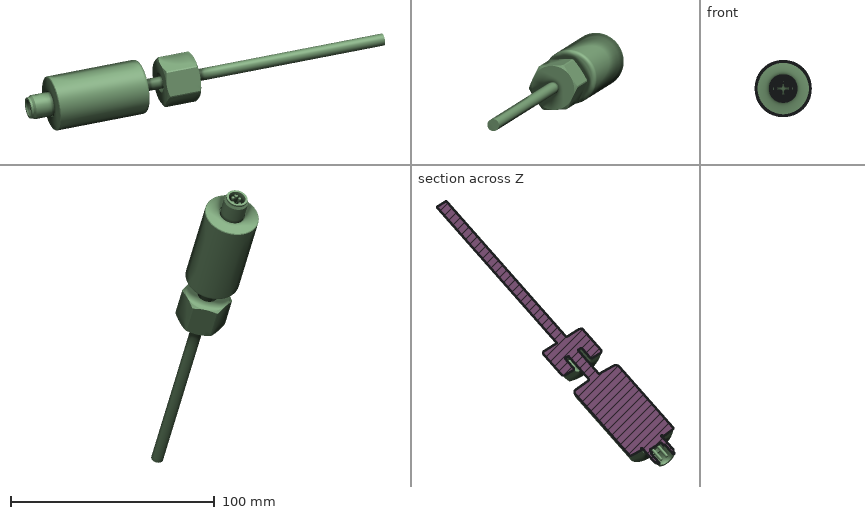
import cadquery as cq
import math

overall_length = 184.46
body_front = 11.75
body_rear = 59.35
nut_front = 68.4
nut_rear = 86.0

body_diameter = 27.0
front_cone_height = 0.55
front_edge_chamfer = 0.35
rear_cone_height = 0.5
rear_edge_radius = 2.0

ring_diameter = 13.0
ring_depth = 1.0

connector_diameter = 12.0
connector_neck_diameter = 11.8
connector_neck_length = 1.65
connector_tip_diameter = 10.5
connector_tip_length = 1.0
connector_chamfer_length = 1.2
socket_diameter = 8.3
socket_depth = 7.0
insert_diameter = 6.8
insert_depth = 9.0

pin_count = 4
pin_diameter = 1.5
pin_tip_diameter = 1.0
pin_circle_diameter = 4.75
pin_recess = 1.5

key_diameter = 1.8
key_offset = 3.7
key_recess = 2.0

rod_diameter = 6.0
rod_embedment = 1.0

nut_across_flats = 22.0
nut_outer_diameter = 25.0
nut_turn = 5.0
nut_chamfer_width = 1.5
nut_chamfer_length = 0.9
nut_bore_diameter = 10.0
nut_bore_depth = 8.0


def revolve_profile(points):
    """Turn a (radius, y) half section about the Y axis."""
    return cq.Workplane("XY").polyline(points).close().revolve(360, (0, 0, 0), (0, 1, 0))


def cylinder(diameter, start, end):
    """Cylinder along Y between two stations."""
    return cq.Workplane("XZ", origin=(0, start, 0)).circle(diameter / 2).extrude(start - end)


def make_body():
    """Turned housing with shallow conical ends and a clearance ring at the connector."""
    radius = body_diameter / 2
    rear_corner = body_rear - rear_cone_height
    body = (
        cq.Workplane("XY")
        .moveTo(0, body_front - front_cone_height)
        .lineTo(ring_diameter / 2, body_front - front_cone_height)
        .lineTo(radius - front_edge_chamfer, body_front)
        .lineTo(radius, body_front + front_edge_chamfer)
        .lineTo(radius, rear_corner - rear_edge_radius)
        .radiusArc((radius - rear_edge_radius, rear_corner), -rear_edge_radius)
        .lineTo(rod_diameter / 2, body_rear)
        .lineTo(0, body_rear)
        .close()
        .revolve(360, (0, 0, 0), (0, 1, 0))
    )
    ring_front = body_front - front_cone_height
    return body.cut(cylinder(ring_diameter, ring_front, ring_front + ring_depth))


def make_key():
    """Rounded coding rib on the upper wall of the socket."""
    return cylinder(key_diameter, key_recess, insert_depth).translate((0, 0, key_offset))


def make_pin(angle):
    """Contact pin with a chamfered tip, placed at an angle in degrees around the Y axis."""
    offset = pin_circle_diameter / 2
    tip_chamfer = (pin_diameter - pin_tip_diameter) / 2
    pin = cylinder(pin_diameter, pin_recess, insert_depth).faces("<Y").chamfer(tip_chamfer)
    return pin.translate((offset, 0, 0)).rotate((0, 0, 0), (0, 1, 0), angle)


def make_connector():
    """Round plug shell with a stepped socket, coding key and pins."""
    radius = connector_diameter / 2
    tip_radius = connector_tip_diameter / 2
    neck_radius = connector_neck_diameter / 2
    root = body_front + ring_depth
    neck_end = body_front - connector_neck_length
    chamfer_front = connector_tip_length
    chamfer_rear = chamfer_front + connector_chamfer_length
    shell = revolve_profile([
        (0, 0),
        (tip_radius, 0),
        (tip_radius, chamfer_front),
        (radius, chamfer_rear),
        (radius, neck_end),
        (neck_radius, neck_end),
        (neck_radius, root),
        (0, root),
    ])
    socket = cylinder(socket_diameter, 0, socket_depth)
    insert_recess = cylinder(insert_diameter, socket_depth, insert_depth)
    shell = shell.cut(socket).cut(insert_recess).union(make_key())
    for index in range(pin_count):
        angle = 45 + index * 360 / pin_count
        shell = shell.union(make_pin(angle))
    return shell


def make_nut():
    """Hexagon nut trimmed by a chamfered round envelope and bored from the front."""
    length = nut_rear - nut_front
    corner_diameter = nut_across_flats / math.cos(math.radians(30))
    hexagon = (
        cq.Workplane("XZ", origin=(0, nut_front, 0))
        .polygon(6, corner_diameter)
        .extrude(-length)
        .rotate((0, 0, 0), (0, 1, 0), nut_turn)
    )
    radius = nut_outer_diameter / 2
    face_radius = radius - nut_chamfer_width
    envelope = revolve_profile([
        (0, nut_front),
        (face_radius, nut_front),
        (radius, nut_front + nut_chamfer_length),
        (radius, nut_rear - nut_chamfer_length),
        (face_radius, nut_rear),
        (0, nut_rear),
    ])
    bore = cylinder(nut_bore_diameter, nut_front, nut_front + nut_bore_depth)
    return hexagon.intersect(envelope).cut(bore)


rod = cylinder(rod_diameter, body_rear - rod_embedment, overall_length)
result = make_body().union(make_connector()).union(make_nut()).union(rod)